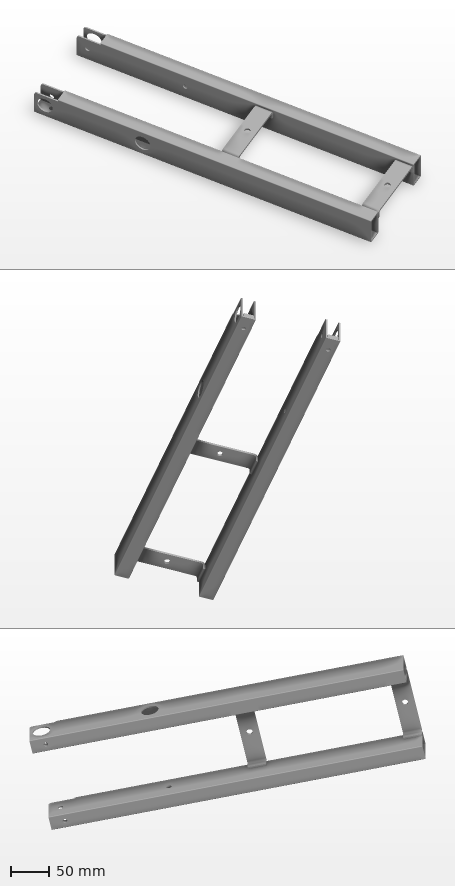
import cadquery as cq

length = 500.0
frame_width = 137.0
rail_height = 40.0
rail_width = 20.0
wall = 2.0
rail_edge_radius = 1.0

notch_length = 35.0
notch_depth = 3.0
nose_radius = 4.0

block_width = 14.0
block_top = 7.5
block_hole_x = 20.0
block_hole_diameter = 6.0

pivot_positions = (16.0, 161.0)
pivot_height = 20.0
outer_hole_diameter = 23.0
inner_hole_diameter = 7.0

strap_width = 25.0
strap_thickness = 3.0
strap_leg = 13.0
strap_bend_radius = 6.0
strap_hole_diameter = 8.0
strap_centers = (279.5, length - strap_width / 2)

mid_y = frame_width / 2
strap_span = frame_width - 2 * rail_width


def box(x, y, z, dx, dy, dz):
    """Box with its lowest corner at (x, y, z)."""
    return cq.Workplane("XY").box(dx, dy, dz, centered=False).translate((x, y, z))


def cross_hole(x, y, diameter, depth):
    """Cylinder along +Y that starts at y, at pivot height."""
    center = cq.Vector(x, y, pivot_height)
    return cq.Workplane(cq.Solid.makeCylinder(diameter / 2, depth, center, cq.Vector(0, 1, 0)))


def make_rail():
    """Rail on the -Y side: a thin tube with an open-topped front end."""
    tube = box(0, 0, 0, length, rail_width, rail_height)
    tube = tube.edges("|X").fillet(rail_edge_radius)
    bore = box(0, wall, wall, length, rail_width - 2 * wall, rail_height - 2 * wall)
    rail = tube.cut(bore)

    notch_floor = rail_height - notch_depth
    rail = rail.cut(box(0, 0, notch_floor, notch_length, rail_width, notch_depth))
    nose = cq.selectors.BoxSelector(
        (-wall, -wall, notch_floor - wall), (wall, rail_width + wall, notch_floor + wall)
    )
    rail = rail.edges("|Y").edges(nose).fillet(nose_radius)

    for x in pivot_positions:
        rail = rail.cut(cross_hole(x, 0, outer_hole_diameter, wall))
        rail = rail.cut(cross_hole(x, rail_width - wall, inner_hole_diameter, wall))

    block_y = (rail_width - block_width) / 2
    rail = rail.union(box(0, block_y, wall, notch_length, block_width, block_top - wall))
    screw_hole = (
        cq.Workplane("XY")
        .center(block_hole_x, rail_width / 2)
        .circle(block_hole_diameter / 2)
        .extrude(block_top)
    )
    return rail.cut(screw_hole)


def make_strap(center_x):
    """Flat strap between the rails with both ends bent down against them."""
    start_x = center_x - strap_width / 2
    leg_bottom = rail_height - strap_leg
    outer = box(start_x, rail_width, leg_bottom, strap_width, strap_span, strap_leg)
    outer = outer.edges("|X and >Z").fillet(strap_bend_radius)
    inner = box(
        start_x,
        rail_width + strap_thickness,
        leg_bottom,
        strap_width,
        strap_span - 2 * strap_thickness,
        strap_leg - strap_thickness,
    )
    inner = inner.edges("|X and >Z").fillet(strap_bend_radius - strap_thickness)
    hole = (
        cq.Workplane("XY")
        .center(center_x, mid_y)
        .circle(strap_hole_diameter / 2)
        .extrude(rail_height)
    )
    return outer.cut(inner).cut(hole)


near_rail = make_rail()
far_rail = near_rail.mirror("XZ").translate((0, frame_width, 0))

result = near_rail.union(far_rail)
for strap_center in strap_centers:
    result = result.union(make_strap(strap_center))